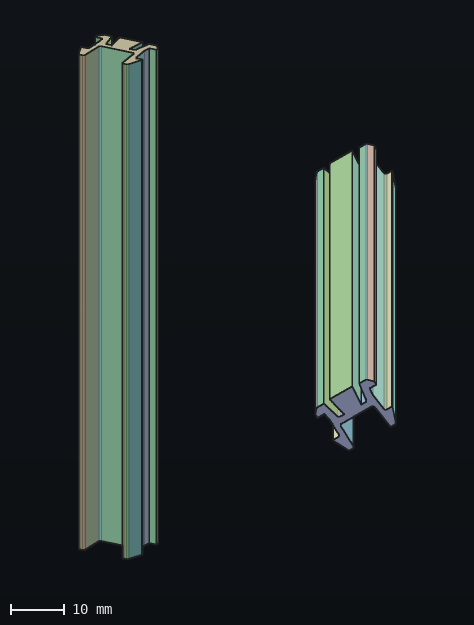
import cadquery as cq

length = 100.0
width = 13.0
depth = 11.0
half_width = width / 2

foot_inner_x = 4.0
foot_outer_x = 5.2
foot_round = 0.4
channel_half_width = 3.7
channel_floor_y = 5.5
channel_fillet = 0.4

barb_tip_bottom_y = 3.2
barb_top_y = 3.5
barb_root_fillet = 0.4

wall_x = 5.0
waist_x = 4.8
waist_y = 7.4

hook_bottom_y = 8.9
hook_tip_top_y = 9.7
hook_top_y = 10.8
hook_shoulder_x = 5.5
hook_shoulder_fillet = 0.3

slot_bottom_y = 6.9
slot_outer_top_x = 3.9
slot_outer_bottom_x = 3.1
slot_fillet = 0.35
block_top_x = 2.5
block_bottom_x = 1.9


def half_profile():
    """Right half of the cross-section, closed along the symmetry plane."""
    return (
        cq.Workplane("XY")
        .moveTo(0, channel_floor_y)
        .lineTo(channel_half_width, channel_floor_y)
        .lineTo(foot_inner_x, 0)
        .lineTo(foot_outer_x, 0)
        .lineTo(half_width, barb_tip_bottom_y)
        .lineTo(half_width, barb_top_y)
        .lineTo(wall_x, barb_top_y)
        .lineTo(waist_x, waist_y)
        .lineTo(wall_x, hook_bottom_y)
        .lineTo(half_width, hook_bottom_y)
        .lineTo(half_width, hook_tip_top_y)
        .lineTo(hook_shoulder_x, hook_top_y)
        .lineTo(slot_outer_top_x, hook_top_y)
        .lineTo(slot_outer_bottom_x, slot_bottom_y)
        .lineTo(block_bottom_x, slot_bottom_y)
        .lineTo(block_top_x, depth)
        .lineTo(0, depth)
        .close()
    )


def edge_at(x, y):
    """Selector for the long edge passing through a profile corner."""
    return cq.selectors.NearestToPointSelector((x, y, length / 2))


half = half_profile().extrude(length)

rounded_corners = [
    (foot_inner_x, 0, foot_round),
    (foot_outer_x, 0, foot_round),
    (wall_x, barb_top_y, barb_root_fillet),
    (hook_shoulder_x, hook_top_y, hook_shoulder_fillet),
    (slot_outer_bottom_x, slot_bottom_y, slot_fillet),
    (channel_half_width, channel_floor_y, channel_fillet),
]
for x, y, radius in rounded_corners:
    half = half.edges("|Z").edges(edge_at(x, y)).fillet(radius)

full = half.union(half.mirror("YZ"), clean=True)
result = full.translate((0, -depth / 2, -length / 2))